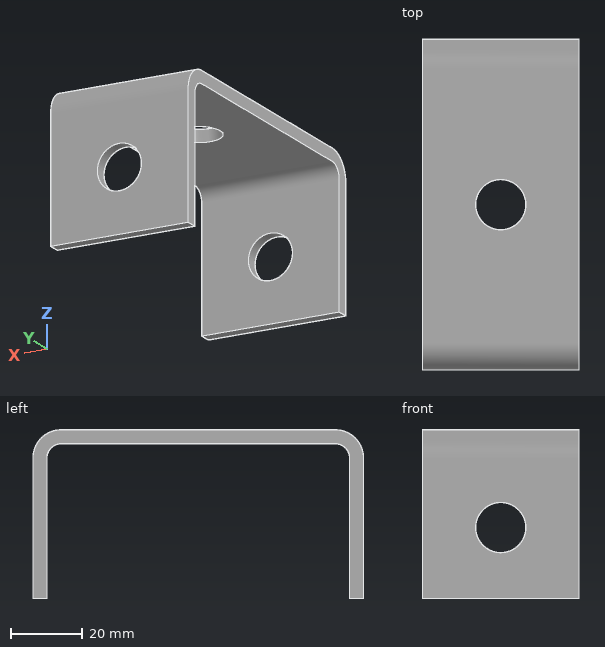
import cadquery as cq

width = 44.0
length = 93.0
height = 47.5

thickness = 4.0
inner_radius = thickness
outer_radius = inner_radius + thickness

hole_diameter = 14.0
side_hole_height = 20.0


def rounded_block(block_length, block_height, radius):
    """Block standing on Z = 0 whose two upper edges along X are rounded."""
    block = cq.Workplane("XY").box(width, block_length, block_height, centered=(True, True, False))
    return block.edges("|X and >Z").fillet(radius)


outer_form = rounded_block(length, height, outer_radius)
inner_space = rounded_block(length - 2 * thickness, height - thickness, inner_radius)
channel = outer_form.cut(inner_space)

web_hole = cq.Workplane("XY").circle(hole_diameter / 2).extrude(height)

leg_holes = (
    cq.Workplane("XZ")
    .center(0, side_hole_height)
    .circle(hole_diameter / 2)
    .extrude(length / 2, both=True)
)

result = channel.cut(web_hole).cut(leg_holes)